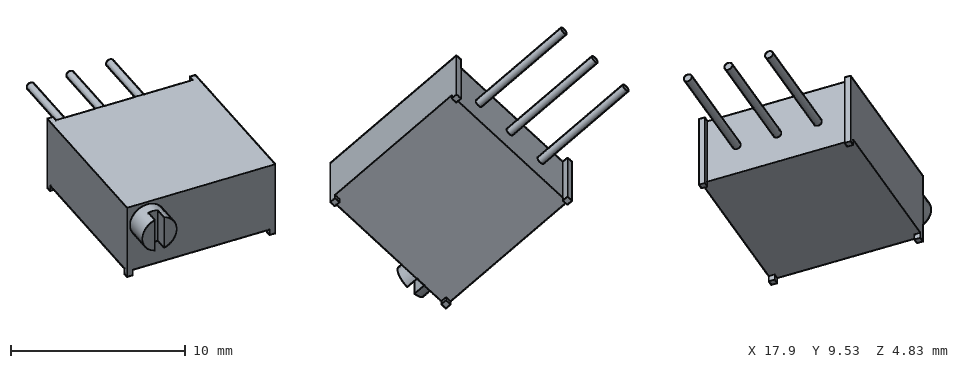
import cadquery as cq

total_length = 17.95
body_start = 6.39
body_end = 16.4
body_width = 9.53
body_height = 4.83

step = 0.38

pin_diameter = 0.5
pin_pitch = 2.55
pin_height = 2.4
pin_count = 3

screw_diameter = 2.2
screw_from_side = 1.3
screw_height = 3.55
slot_width = 0.6
slot_depth = 0.8

body_length = body_end - body_start
screw_y = screw_from_side - body_width / 2


def box(start, size):
    """Box from its low corner in X and Z, centred on its Y position."""
    return cq.Workplane("XY").box(*size, centered=(False, True, False)).translate(start)


def rod(x_start, x_end, y, z, diameter):
    """Round bar running along X."""
    return (
        cq.Workplane("YZ", origin=(x_start, y, z))
        .circle(diameter / 2)
        .extrude(x_end - x_start)
    )


def make_body():
    """Block with a recessed pin face, standing on four corner feet."""
    inner_width = body_width - 2 * step
    body = box((body_start, 0, 0), (body_length, body_width, body_height))
    pin_recess = box((body_start, 0, 0), (step, inner_width, body_height))
    gap_along_y = box((body_start, 0, 0), (body_length, inner_width, step))
    gap_along_x = box((body_start + step, 0, 0), (body_length - 2 * step, body_width, step))
    return body.cut(pin_recess).cut(gap_along_y).cut(gap_along_x)


def make_screw():
    """Screw head with a driver slot running along Z."""
    head = rod(body_end, total_length, screw_y, screw_height, screw_diameter)
    slot = box(
        (total_length - slot_depth, screw_y, screw_height - screw_diameter / 2),
        (slot_depth, slot_width, screw_diameter),
    )
    return head.cut(slot)


result = make_body().union(make_screw())
for index in range(pin_count):
    pin_y = (index - (pin_count - 1) / 2) * pin_pitch
    result = result.union(rod(0, body_start + step, pin_y, pin_height, pin_diameter))